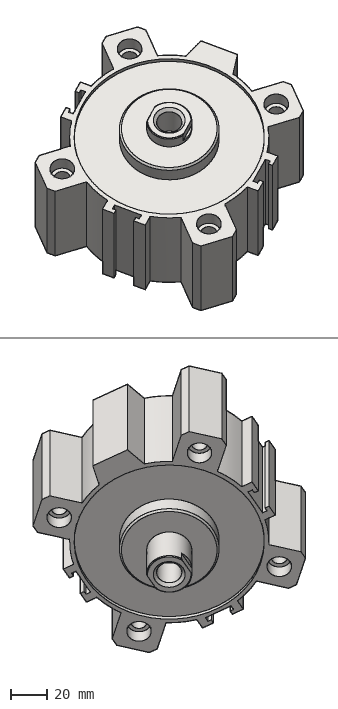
import cadquery as cq

SQUARE = 120.0
HALF_SQUARE = SQUARE / 2
RIDGE_REACH = 66.0
HOUSING_HEIGHT = 62.0
HALF_HEIGHT = HOUSING_HEIGHT / 2
TOTAL_HEIGHT = 108.0

BARREL_DIA = 110.0
RECESS_DIA = 105.0
RECESS_DEPTH = 2.5
BOSS_DIA = 55.0
BOSS_RISE = 7.7
BOSS_END = HALF_HEIGHT + BOSS_RISE
BOSS_CHAMFER = 1.1

LUG_WIDTH = 25.8
LUG_REACH = 75.5
LUG_ANGLES = (45, 135, 225, 315)
LUG_HOLE_RADIUS = 63.0
LUG_HOLE_DIA = 9.0
LUG_COUNTERBORE_DIA = 13.5
LUG_COUNTERBORE_DEPTH = 9.0

RAIL_WIDTH = 26.0
RAIL_ANGLES = (0, 180, 270)
SLOT_MOUTH_WIDTH = 12.0
SLOT_INNER_WIDTH = 16.3
SLOT_DEPTH = 5.3
SLOT_LIP = 2.5

RIDGE_TOP_WIDTH = 22.0
RIDGE_BASE_WIDTH = 28.9
RIDGE_BASE_REACH = 52.8

ROD_DIA = 25.0
ROD_CHAMFER = 0.5
ROD_RISE = 7.8
ROD_TOP = BOSS_END + ROD_RISE
ROD_BOTTOM = ROD_TOP - TOTAL_HEIGHT
FLATS_WIDTH = 22.0
FLATS_LENGTH = 5.5
ROD_BORE_DIA = 13.9
ROD_BORE_DEPTH = 20.2
ROD_COUNTERSINK_DIA = 17.5
ROD_COUNTERSINK_ANGLE = 90


def prism(outline):
    """Extrude a closed outline drawn at the housing foot to the full housing height."""
    return outline.extrude(HOUSING_HEIGHT)


def foot():
    """Workplane at the lower rim of the housing."""
    return cq.Workplane("XY", origin=(0, 0, -HALF_HEIGHT))


def radial_bar(inner, outer, width):
    """Full-height bar along +X between two distances from the axis."""
    return prism(foot().center((inner + outer) / 2, 0).rect(outer - inner, width))


def turned(shape, angle):
    """Shape turned about the main axis."""
    return shape.rotate((0, 0, 0), (0, 0, 1), angle)


def cylinder(diameter, bottom, top):
    """Cylinder on the main axis between two heights."""
    return cq.Workplane("XY", origin=(0, 0, bottom)).circle(diameter / 2).extrude(top - bottom)


def make_lugs():
    """Four diagonal lugs, their corners cut off by the bounding square."""
    bar = radial_bar(-LUG_REACH, LUG_REACH, LUG_WIDTH)
    lugs = turned(bar, 45).union(turned(bar, 135))
    return lugs.intersect(prism(foot().rect(SQUARE, SQUARE)))


def make_ridge():
    """Tapered ridge, carried straight inward into the barrel."""
    outline = [
        (-RIDGE_BASE_WIDTH / 2, 0),
        (RIDGE_BASE_WIDTH / 2, 0),
        (RIDGE_BASE_WIDTH / 2, RIDGE_BASE_REACH),
        (RIDGE_TOP_WIDTH / 2, RIDGE_REACH),
        (-RIDGE_TOP_WIDTH / 2, RIDGE_REACH),
        (-RIDGE_BASE_WIDTH / 2, RIDGE_BASE_REACH),
    ]
    return prism(foot().polyline(outline).close())


def make_t_slot():
    """T-slot cutter on the +X side."""
    mouth = radial_bar(HALF_SQUARE - SLOT_DEPTH, HALF_SQUARE, SLOT_MOUTH_WIDTH)
    undercut = radial_bar(HALF_SQUARE - SLOT_DEPTH, HALF_SQUARE - SLOT_LIP, SLOT_INNER_WIDTH)
    return mouth.union(undercut)


def make_lug_hole():
    """Cutter for one lug hole, counterbored from both ends."""
    hole = foot().center(LUG_HOLE_RADIUS, 0).circle(LUG_HOLE_DIA / 2).extrude(HOUSING_HEIGHT)
    for bottom in (-HALF_HEIGHT, HALF_HEIGHT - LUG_COUNTERBORE_DEPTH):
        counterbore = (
            cq.Workplane("XY", origin=(LUG_HOLE_RADIUS, 0, bottom))
            .circle(LUG_COUNTERBORE_DIA / 2)
            .extrude(LUG_COUNTERBORE_DEPTH)
        )
        hole = hole.union(counterbore)
    return hole


def make_housing():
    """Barrel with lugs, rails, ridge and end bosses, bored for the rod."""
    housing = cylinder(BARREL_DIA, -HALF_HEIGHT, HALF_HEIGHT).union(make_lugs()).union(make_ridge())

    rail = radial_bar(0, HALF_SQUARE, RAIL_WIDTH)
    for angle in RAIL_ANGLES:
        housing = housing.union(turned(rail, angle))
    for angle in RAIL_ANGLES:
        housing = housing.cut(turned(make_t_slot(), angle))
    for angle in LUG_ANGLES:
        housing = housing.cut(turned(make_lug_hole(), angle))

    for bottom in (-HALF_HEIGHT, HALF_HEIGHT - RECESS_DEPTH):
        housing = housing.cut(cylinder(RECESS_DIA, bottom, bottom + RECESS_DEPTH))

    bosses = cylinder(BOSS_DIA, -BOSS_END, BOSS_END).faces("<Z or >Z").chamfer(BOSS_CHAMFER)
    return housing.union(bosses).cut(cylinder(ROD_DIA, -BOSS_END, BOSS_END))


def make_rod():
    """Rod through the housing, with wrench flats and a countersunk bore at each end."""
    rod = cylinder(ROD_DIA, ROD_BOTTOM, ROD_TOP).faces("<Z or >Z").chamfer(ROD_CHAMFER)

    for bottom in (ROD_BOTTOM, ROD_TOP - FLATS_LENGTH):
        flats = (
            cq.Workplane("XY", origin=(0, 0, bottom))
            .rect(2 * ROD_DIA, ROD_DIA)
            .rect(FLATS_WIDTH, ROD_DIA)
            .extrude(FLATS_LENGTH)
        )
        rod = rod.cut(flats)

    for end_face in (">Z", "<Z"):
        rod = (
            rod.faces(end_face)
            .workplane(origin=(0, 0, 0))
            .cskHole(ROD_BORE_DIA, ROD_COUNTERSINK_DIA, ROD_COUNTERSINK_ANGLE, ROD_BORE_DEPTH)
        )
    return rod


housing = make_housing().solids()
rod = make_rod().solids()
result = cq.Compound.makeCompound([housing.val(), rod.val()])